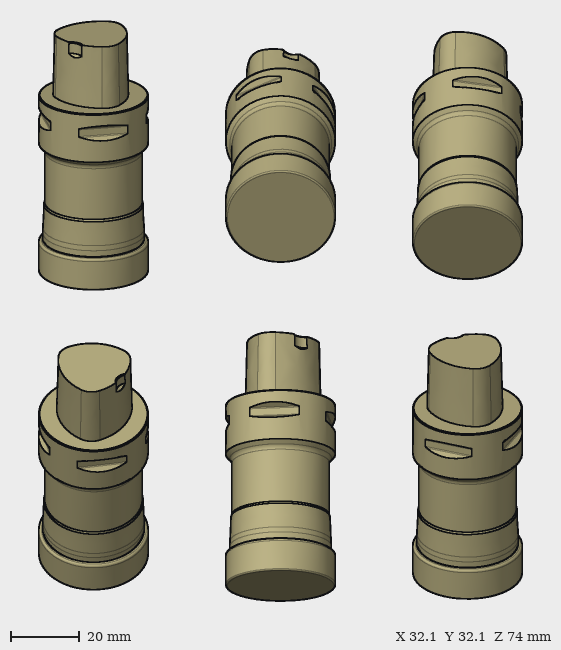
import cadquery as cq
import math

TOTAL_HEIGHT = 74.0
FLANGE_TOP = 55.0
FLANGE_BOTTOM = 39.95
NECK_BOTTOM = 21.45
TAPER_TOP = 20.8
TAPER_BOTTOM = 13.55
COLLAR_EDGE_LINE = 12.0
NUT_HEIGHT = 9.8

FLANGE_DIAMETER = 32.0
NECK_DIAMETER = 28.5
TAPER_TOP_DIAMETER = 29.0
TAPER_BOTTOM_DIAMETER = 29.6
COLLAR_DIAMETER = 29.75
NUT_DIAMETER = 32.05
FLANGE_CHAMFER = 0.3
FLARE_FILLET = 2.1
COLLAR_CHAMFER = 0.3
NUT_TOP_FILLET = 0.75
NUT_BOTTOM_FILLET = 0.45
FLARE_ARC_END = 135
FLARE_ARC_MIDDLE = (180 + FLARE_ARC_END) / 2

CORNER_OFFSET = 6.1
CORNER_RADIUS_BASE = 5.8
CORNER_RADIUS_TOP = 5.3
CORNER_ANGLES = (90, 210, 330)
CORNER_HALF_ANGLE = 30
CORNER_SPACING = 120

NOTCH_RADIUS = 3.7
NOTCH_INNER_Y = -8.9
NOTCH_DEPTH = 3.5
NOTCH_POINT_DEPTH = 3.0
NOTCH_CHAMFER = 0.3

SLOT_COUNT = 4
SLOT_FIRST_ANGLE = 45
SLOT_HEIGHT = 48.9
SLOT_WALL_DISTANCE = 14.2
SLOT_WALL_WIDTH = 2.5
SLOT_MOUTH_WIDTH = 4.7
SLOT_ROOT_FILLET = 0.4


def polar(radius, degrees, center=(0, 0)):
    angle = math.radians(degrees)
    return (center[0] + radius * math.cos(angle), center[1] + radius * math.sin(angle))


def shank_wire(corner_radius, z):
    """Rounded triangle of constant width; each wide arc is centred on the opposite corner."""
    wide_radius = corner_radius + math.sqrt(3) * CORNER_OFFSET
    first_angle = CORNER_ANGLES[0]
    first_center = polar(CORNER_OFFSET, first_angle)
    start = polar(corner_radius, first_angle - CORNER_HALF_ANGLE, first_center)
    outline = cq.Workplane("XY", origin=(0, 0, z)).moveTo(*start)
    for angle in CORNER_ANGLES:
        center = polar(CORNER_OFFSET, angle)
        corner_middle = polar(corner_radius, angle, center)
        corner_end = polar(corner_radius, angle + CORNER_HALF_ANGLE, center)
        outline = outline.threePointArc(corner_middle, corner_end)
        side_angle = angle + CORNER_SPACING / 2
        side_middle = polar(wide_radius - CORNER_OFFSET, side_angle)
        next_center = polar(CORNER_OFFSET, angle + CORNER_SPACING)
        side_end = polar(corner_radius, angle + CORNER_SPACING - CORNER_HALF_ANGLE, next_center)
        outline = outline.threePointArc(side_middle, side_end)
    return outline.close().val()


def make_shank():
    base = shank_wire(CORNER_RADIUS_BASE, FLANGE_TOP)
    top = shank_wire(CORNER_RADIUS_TOP, TOTAL_HEIGHT)
    return cq.Workplane(cq.Solid.makeLoft([base, top], True))


def make_notch_cutter():
    """Vertical drill shape whose axis lies outside the shank."""
    wall_floor = TOTAL_HEIGHT - NOTCH_DEPTH
    profile = [
        (0, TOTAL_HEIGHT),
        (NOTCH_RADIUS + NOTCH_CHAMFER, TOTAL_HEIGHT),
        (NOTCH_RADIUS, TOTAL_HEIGHT - NOTCH_CHAMFER),
        (NOTCH_RADIUS, wall_floor),
        (0, wall_floor - NOTCH_POINT_DEPTH),
    ]
    drill = cq.Workplane("XZ").polyline(profile).close().revolve(360, (0, 0), (0, 1))
    return drill.translate((0, NOTCH_INNER_Y - NOTCH_RADIUS, 0))


def make_slot_cutter(angle):
    """Flat-walled slot whose upper and lower faces open outward."""
    half_wall = SLOT_WALL_WIDTH / 2
    mouth = FLANGE_DIAMETER / 2
    half_mouth = SLOT_MOUTH_WIDTH / 2
    profile = [
        (SLOT_WALL_DISTANCE, SLOT_HEIGHT - half_wall),
        (mouth, SLOT_HEIGHT - half_mouth),
        (mouth, SLOT_HEIGHT + half_mouth),
        (SLOT_WALL_DISTANCE, SLOT_HEIGHT + half_wall),
    ]
    cutter = cq.Workplane("XZ").polyline(profile).close().extrude(FLANGE_DIAMETER / 2, both=True)
    wall_edges = cutter.faces("<X").edges("|Y")
    return wall_edges.fillet(SLOT_ROOT_FILLET).rotate((0, 0, 0), (0, 0, 1), angle)


def make_turned_body():
    flange_radius = FLANGE_DIAMETER / 2
    collar_radius = COLLAR_DIAMETER / 2
    neck_radius = NECK_DIAMETER / 2
    fillet_center_radius = neck_radius + FLARE_FILLET
    flare_radius = polar(FLARE_FILLET, FLARE_ARC_END, (fillet_center_radius, 0))[0]
    flare_bottom = FLANGE_BOTTOM - (flange_radius - flare_radius)
    neck_top = flare_bottom - polar(FLARE_FILLET, FLARE_ARC_END)[1]
    fillet_middle = polar(FLARE_FILLET, FLARE_ARC_MIDDLE, (fillet_center_radius, neck_top))
    return (
        cq.Workplane("XZ")
        .moveTo(0, NUT_HEIGHT)
        .lineTo(collar_radius - COLLAR_CHAMFER, NUT_HEIGHT)
        .lineTo(collar_radius, NUT_HEIGHT + COLLAR_CHAMFER)
        .lineTo(collar_radius, COLLAR_EDGE_LINE)
        .lineTo(TAPER_BOTTOM_DIAMETER / 2, TAPER_BOTTOM)
        .lineTo(TAPER_TOP_DIAMETER / 2, TAPER_TOP)
        .lineTo(neck_radius, NECK_BOTTOM)
        .lineTo(neck_radius, neck_top)
        .threePointArc(fillet_middle, (flare_radius, flare_bottom))
        .lineTo(flange_radius, FLANGE_BOTTOM)
        .lineTo(flange_radius, FLANGE_TOP - FLANGE_CHAMFER)
        .lineTo(flange_radius - FLANGE_CHAMFER, FLANGE_TOP)
        .lineTo(0, FLANGE_TOP)
        .close()
        .revolve(360, (0, 0), (0, 1))
    )


def make_holder():
    holder = make_turned_body().union(make_shank()).cut(make_notch_cutter())
    for index in range(SLOT_COUNT):
        angle = SLOT_FIRST_ANGLE + index * 360 / SLOT_COUNT
        holder = holder.cut(make_slot_cutter(angle))
    return holder


def make_nut():
    nut = cq.Workplane("XY").circle(NUT_DIAMETER / 2).extrude(NUT_HEIGHT)
    return nut.edges(">Z").fillet(NUT_TOP_FILLET).edges("<Z").fillet(NUT_BOTTOM_FILLET)


holder = make_holder()
nut = make_nut()
result = cq.Compound.makeCompound([holder.val(), nut.val()])